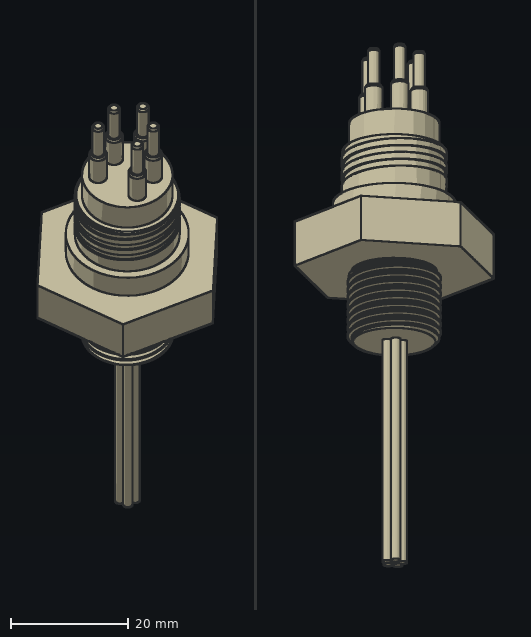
import cadquery as cq
import math

socket_bottom = 40.1
nut_bottom = 52.7
nut_top = 60.8
collar_top = 65.2
sleeve_top = 74.7
insert_top = 79.7
pin_step = 85.6
pin_top = 92.2

hex_corners = 34.7
collar_diameter = 21.0
sleeve_diameter = 18.0
sleeve_chamfer = 0.3
insert_diameter = 15.5

sleeve_pitch = 2.5
sleeve_groove_width = sleeve_pitch / 2
sleeve_groove_depth = 0.3
sleeve_groove_start = 67.6
sleeve_groove_angle = 161

socket_major_diameter = 15.95
socket_minor_diameter = 14.7
socket_pitch = 1.4
socket_ridge_foot = 1.0
socket_ridge_crest = 0.3
socket_ridge_angle = 250
socket_chamfer = 0.9

pin_diameter = 2.0
pin_base_diameter = 3.0
pin_chamfer_inset = 0.3
pin_chamfer_height = 0.5
side_pin_x = 4.0
pin_positions = [
    (0, 5.0),
    (side_pin_x, 2.0),
    (side_pin_x, -3.0),
    (-side_pin_x, -3.0),
    (-side_pin_x, 2.0),
]

wire_count = len(pin_positions)
wire_diameter = 1.7
wire_ring_radius = 1.4

clearance = 0.2
ridge_root = 0.1


def cylinder(diameter, bottom, top):
    return cq.Workplane("XY").workplane(offset=bottom).circle(diameter / 2).extrude(top - bottom)


def helical_bar(inner_radius, outer_radius, inner_width, outer_width, pitch, height, start_z, start_angle):
    """Solid with a trapezoidal section swept up a right-hand helix."""
    helix = cq.Workplane(obj=cq.Wire.makeHelix(pitch, height, outer_radius))
    profile = cq.Workplane("XZ").polyline([
        (inner_radius, -inner_width / 2),
        (outer_radius, -outer_width / 2),
        (outer_radius, outer_width / 2),
        (inner_radius, inner_width / 2),
    ]).close()
    bar = profile.sweep(helix, isFrenet=True)
    return bar.rotate((0, 0, 0), (0, 0, 1), start_angle).translate((0, 0, start_z))


def threaded_sleeve():
    sleeve_radius = sleeve_diameter / 2
    sleeve = cylinder(sleeve_diameter, collar_top, sleeve_top).faces(">Z").chamfer(sleeve_chamfer)
    groove_height = sleeve_top - sleeve_groove_start + sleeve_groove_width
    groove = helical_bar(
        sleeve_radius - sleeve_groove_depth, sleeve_radius + clearance,
        sleeve_groove_width, sleeve_groove_width,
        sleeve_pitch, groove_height, sleeve_groove_start, sleeve_groove_angle,
    )
    return sleeve.cut(groove)


def thread_limits():
    """Cylinder wider than the thread, coned at both ends so that the crests taper away."""
    limit_radius = socket_major_diameter / 2 + clearance
    limit_chamfer = socket_chamfer + clearance
    return cylinder(2 * limit_radius, socket_bottom, nut_bottom).faces("<Z or >Z").chamfer(limit_chamfer)


def threaded_socket():
    major_radius = socket_major_diameter / 2
    minor_radius = socket_minor_diameter / 2
    core_chamfer = socket_chamfer - (major_radius - minor_radius)
    core = cylinder(socket_minor_diameter, socket_bottom, nut_bottom).faces("<Z").chamfer(core_chamfer)
    flank_slope = (socket_ridge_foot - socket_ridge_crest) / 2 / (major_radius - minor_radius)
    ridge_start = socket_bottom - socket_pitch / 2
    ridge_height = nut_bottom - socket_bottom + socket_pitch
    ridge = helical_bar(
        minor_radius - ridge_root, major_radius,
        socket_ridge_foot + 2 * flank_slope * ridge_root, socket_ridge_crest,
        socket_pitch, ridge_height, ridge_start, socket_ridge_angle,
    )
    return core.union(ridge.intersect(thread_limits()))


def tapered_rod(diameter, bottom, top):
    """Rod whose top rim narrows in a steep chamfer."""
    rod = cylinder(diameter, bottom, top - pin_chamfer_height)
    end_diameter = diameter - 2 * pin_chamfer_inset
    rim = rod.faces(">Z").workplane().circle(diameter / 2)
    return rim.workplane(offset=pin_chamfer_height).circle(end_diameter / 2).loft(ruled=True)


def contact_pin(position):
    base = tapered_rod(pin_base_diameter, insert_top, pin_step)
    tip = tapered_rod(pin_diameter, pin_step, pin_top)
    return base.union(tip).translate((*position, 0))


def wire(index):
    angle = math.pi / 2 + index * math.tau / wire_count
    x = wire_ring_radius * math.cos(angle)
    y = wire_ring_radius * math.sin(angle)
    return cylinder(wire_diameter, 0, socket_bottom).translate((x, y, 0))


nut = cq.Workplane("XY").workplane(offset=nut_bottom).polygon(6, hex_corners).extrude(nut_top - nut_bottom)

result = nut.union(cylinder(collar_diameter, nut_top, collar_top))
result = result.union(threaded_sleeve())
result = result.union(cylinder(insert_diameter, sleeve_top, insert_top))
result = result.union(threaded_socket())
for pin_position in pin_positions:
    result = result.union(contact_pin(pin_position))
for wire_index in range(wire_count):
    result = result.union(wire(wire_index))